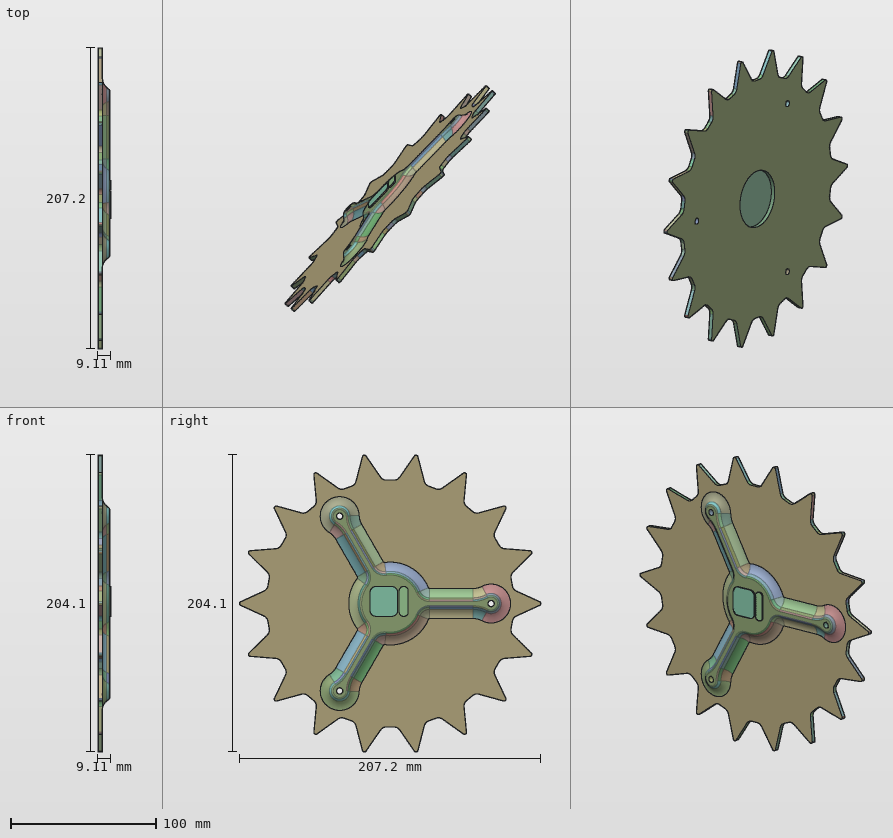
import cadquery as cq
import math

tooth_count = 18
tooth_pitch = 360 / tooth_count
plate_thickness = 3.0
tip_radius = 103.6
tip_half_width = 0.93
root_radius = 85.0
root_half_width = 5.2
root_fillet = 4.8
tip_fillet = 1.2
bore_diameter = 40.0

arm_count = 3
hole_circle_radius = 69.5
hole_diameter = 4.1

spider_height = 5.2
hub_radius = 20.3
lobe_radius = 5.2
arm_half_width = 2.0
hub_blend_radius = 9.1
lobe_blend_radius = 21.3
wall_draft = 40.0
foot_fillet = 8.3
top_fillet = 1.5

pad_height = 0.91
pad_length = 20.5
pad_center_z = 1.5
narrow_pad = (9.3, 6.2, 3.0)
wide_pad = (-4.4, 19.0, 4.1)

spider_top = plate_thickness + spider_height


def polar(radius, degrees):
    """Point at the given radius and angle, measured from +Y towards +Z."""
    angle = math.radians(degrees)
    return (radius * math.cos(angle), radius * math.sin(angle))


def turned(point, degrees):
    """Point rotated about the sprocket axis."""
    radius = math.hypot(*point)
    return polar(radius, math.degrees(math.atan2(point[1], point[0])) + degrees)


def around(center, radius, degrees):
    """Point at the given radius and angle from a centre."""
    step = polar(radius, degrees)
    return (center[0] + step[0], center[1] + step[1])


def mirrored(point):
    """Point reflected across the Y axis, the centre line of the first arm."""
    return (point[0], -point[1])


def axis_distance(edge):
    """Distance of an edge's centre from the sprocket axis."""
    return math.hypot(edge.Center().y, edge.Center().z)


def rivet_holes(depth):
    """Cutters for the rivet holes, from the back of the plate up to the given depth."""
    holes = cq.Workplane("YZ").polarArray(hole_circle_radius, 0, 360, arm_count)
    return holes.circle(hole_diameter / 2).extrude(depth)


def make_sprocket():
    """Toothed plate with straight flanks, rounded tips and filleted tooth roots."""
    half_pitch = tooth_pitch / 2
    root_corner = turned((root_radius, root_half_width), -half_pitch)
    tooth = [
        root_corner,
        (tip_radius, -tip_half_width),
        (tip_radius, tip_half_width),
        (root_corner[0], -root_corner[1]),
    ]
    outline = [turned(point, i * tooth_pitch) for i in range(tooth_count) for point in tooth]
    plate = cq.Workplane("YZ").polyline(outline).close().extrude(plate_thickness)

    corners = plate.edges("|X").vals()
    middle_radius = (root_radius + tip_radius) / 2
    root_corners = [edge for edge in corners if axis_distance(edge) < middle_radius]
    tip_corners = [edge for edge in corners if axis_distance(edge) > middle_radius]
    rounded = plate.val().fillet(root_fillet, root_corners).fillet(tip_fillet, tip_corners)
    plate = cq.Workplane(rounded)

    bore = cq.Workplane("YZ").circle(bore_diameter / 2).extrude(plate_thickness)
    return plate.cut(bore).cut(rivet_holes(plate_thickness))


def spider_outline():
    """Spider outline where its drafted walls meet the plate."""
    spread = spider_height * math.tan(math.radians(wall_draft))
    hub = hub_radius + spread
    lobe = lobe_radius + spread
    half_width = arm_half_width + spread
    hub_blend = hub_blend_radius - spread
    lobe_blend = lobe_blend_radius - spread

    hub_blend_offset = half_width + hub_blend
    hub_blend_along = math.sqrt((hub + hub_blend) ** 2 - hub_blend_offset**2)
    hub_angle = math.degrees(math.atan2(hub_blend_offset, hub_blend_along))
    lobe_blend_offset = half_width + lobe_blend
    lobe_blend_reach = math.sqrt((lobe + lobe_blend) ** 2 - lobe_blend_offset**2)
    lobe_blend_along = hole_circle_radius - lobe_blend_reach
    lobe_angle = math.degrees(math.atan2(lobe_blend_offset, lobe_blend_reach))

    hub_blend_center = (hub_blend_along, hub_blend_offset)
    lobe_blend_center = (lobe_blend_along, lobe_blend_offset)
    hub_end = polar(hub, hub_angle)
    hub_blend_middle = around(hub_blend_center, hub_blend, (hub_angle - 270) / 2)
    side_start = (hub_blend_along, half_width)
    side_end = (lobe_blend_along, half_width)
    lobe_blend_middle = around(lobe_blend_center, lobe_blend, -(90 + lobe_angle) / 2)
    lobe_end = around(lobe_blend_center, lobe_blend, -lobe_angle)
    lobe_nose = (hole_circle_radius + lobe, 0)

    arm_pitch = 360 / arm_count
    outline = cq.Workplane("YZ", origin=(plate_thickness, 0, 0)).moveTo(*mirrored(hub_end))
    for i in range(arm_count):
        def place(point, turn=i * arm_pitch):
            return turned(point, turn)

        outline = (
            outline.threePointArc(place(mirrored(hub_blend_middle)), place(mirrored(side_start)))
            .lineTo(*place(mirrored(side_end)))
            .threePointArc(place(mirrored(lobe_blend_middle)), place(mirrored(lobe_end)))
            .threePointArc(place(lobe_nose), place(lobe_end))
            .threePointArc(place(lobe_blend_middle), place(side_end))
            .lineTo(*place(side_start))
            .threePointArc(place(hub_blend_middle), place(hub_end))
        )
        next_hub_end = turned(mirrored(hub_end), (i + 1) * arm_pitch)
        outline = outline.threePointArc(polar(hub, (i + 0.5) * arm_pitch), next_hub_end)
    return outline.close()


def make_spider():
    """Drafted spider whose walls sweep out to the plate in a concave foot fillet.

    The fillet is made against a disc as thick as the plate, which is then cut away.
    """
    walls = spider_outline().extrude(spider_height, taper=wall_draft)
    base = cq.Workplane("YZ").circle(tip_radius).extrude(plate_thickness)
    spider = base.union(walls)
    flat_faces = sorted(spider.faces("|X").vals(), key=lambda face: face.Center().x)
    shelf = flat_faces[1]
    foot_edges = shelf.innerWires()[0].Edges()
    spider = spider.newObject(foot_edges).fillet(foot_fillet)
    spider = spider.faces(">X").edges().fillet(top_fillet)
    return spider.cut(base).cut(rivet_holes(spider_top))


def make_pad(center_y, width, corner_radius):
    """Raised pad with rounded corners on top of the hub."""
    pad = cq.Workplane("YZ", origin=(spider_top, 0, 0)).center(center_y, pad_center_z)
    return pad.rect(width, pad_length).extrude(pad_height).edges("|X").fillet(corner_radius)


sprocket = make_sprocket()
spider = make_spider()
pads = [make_pad(*sizes) for sizes in (narrow_pad, wide_pad)]

result = cq.Compound.makeCompound([sprocket.val(), spider.val(), *[pad.val() for pad in pads]])